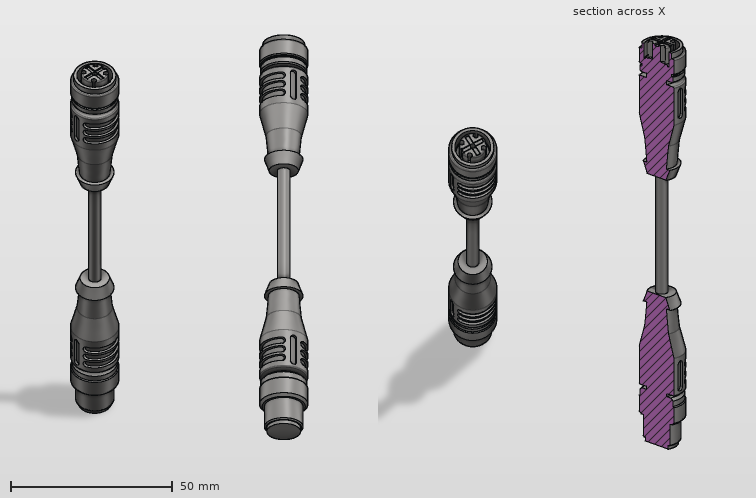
import cadquery as cq


length = 137.5
outer_dia = 15.0
edge_break = 0.4

cable_dia = 4.0
grip_top_z = 125.0
grip_bottom_z = 18.8
grip_body_length = 13.0
grip_cone_end = 20.9
grip_lip_start = 29.0
grip_length = 33.0
grip_cone_dia = 11.0
grip_tail_dia = 9.5
grip_lip_dia = 12.0
grip_tip_dia = 9.1
grip_edge_radius = 0.4

recess_floor_dia = 13.3
recess_width = 2.2
panel_width = 2.0
rib_pitch = 3.0
rib_groove_count = 3
rib_groove_center = 6.3
rib_groove_inset = 2.6
panel_start = 1.2
panel_end = 11.4

neck_dia = 9.6
collar_dia = 14.3

socket_collar_bottom_z = 126.2
collar_groove_bottom_z = 128.3
socket_nut_bottom_z = 129.0
socket_nut_top_z = 134.5
sleeve_dia = 13.0
sleeve_top_z = 136.4
sleeve_bore_dia = 11.0
sleeve_floor_z = 131.3
insert_dia = 8.4
seal_section_dia = 1.15
seal_squeeze = 0.1
contact_hole_dia = 1.5
outer_contact_count = 4
first_contact_angle = 45
contact_circle_dia = 7.0
contact_hole_depth = 5.5
key_width = 1.6
key_depth = 0.7
cross_width = 1.2
cross_length = 7.2
cross_depth = 0.5

plug_collar_top_z = 18.0
plug_collar_chamfer = 0.8
plug_nut_top_z = 15.4
plug_nut_bottom_z = 8.8
plug_nut_chamfer = 0.8
plug_dia = 12.0
plug_tip_dia = 10.5
plug_tip_length = 1.2


def cylinder(dia, bottom_z, top_z):
    return cq.Workplane("XY").workplane(offset=bottom_z).circle(dia / 2).extrude(top_z - bottom_z)


def grip_slot(width, slot_length, x, z, turn):
    """A round-ended bar running right through the grip along Y."""
    return (
        cq.Workplane("XZ")
        .center(x, z)
        .slot2D(slot_length, width, turn)
        .extrude(outer_dia, both=True)
    )


def grip():
    """The moulded grip, with its mating face at z = 0 and its cable end pointing up."""
    body_r = outer_dia / 2
    profile = [
        (0, 0),
        (body_r, 0),
        (body_r, grip_body_length),
        (grip_cone_dia / 2, grip_cone_end),
        (grip_tail_dia / 2, grip_lip_start),
        (grip_lip_dia / 2, grip_lip_start),
        (grip_tip_dia / 2, grip_length),
        (0, grip_length),
    ]
    body = cq.Workplane("XZ").polyline(profile).close().revolve(360, (0, 0), (0, 1))
    body = body.faces("<Z").edges().fillet(grip_edge_radius)

    slots = grip_slot(panel_width, panel_end - panel_start, 0, (panel_start + panel_end) / 2, 90)
    groove_length = outer_dia
    groove_x = rib_groove_inset + groove_length / 2
    for row in range(rib_groove_count):
        z = rib_groove_center + (row - (rib_groove_count - 1) / 2) * rib_pitch
        for side in (-1, 1):
            slots = slots.union(grip_slot(recess_width, groove_length, side * groove_x, z, 0))
    core = cylinder(recess_floor_dia, 0, grip_length)
    return body.cut(slots.cut(core))


def socket_end():
    nut = cylinder(outer_dia, socket_nut_bottom_z, socket_nut_top_z)
    nut = nut.faces("<Z").chamfer(edge_break).faces(">Z").edges().fillet(edge_break)
    collar = cylinder(collar_dia, socket_collar_bottom_z, socket_nut_top_z - edge_break)
    collar = collar.faces("<Z").chamfer(edge_break)
    groove_floor = cylinder(sleeve_dia, collar_groove_bottom_z, socket_nut_bottom_z)
    groove = cylinder(outer_dia, collar_groove_bottom_z, socket_nut_bottom_z).cut(groove_floor)
    collar = collar.cut(groove)
    neck = cylinder(neck_dia, grip_top_z, socket_nut_top_z)
    sleeve = cylinder(sleeve_dia, socket_nut_bottom_z, sleeve_top_z)
    bore = cylinder(sleeve_bore_dia, sleeve_floor_z, length)
    shell = nut.union(collar).union(neck).union(sleeve).cut(bore)
    return shell.union(contact_insert()).union(seal_ring())


def contact_insert():
    """The insert carrying five contact holes, a shallow cross and a key notch at +Y."""
    insert = cylinder(insert_dia, socket_nut_bottom_z, length)
    insert = insert.faces(">Z").edges().fillet(edge_break)
    face = insert.faces(">Z").workplane(origin=(0, 0, length))
    outer_contacts = face.polarArray(contact_circle_dia / 2, first_contact_angle, 360, outer_contact_count)
    insert = outer_contacts.hole(contact_hole_dia, contact_hole_depth)
    insert = insert.cut(cylinder(contact_hole_dia, length - contact_hole_depth, length))
    cross_z = length - cross_depth / 2
    for size in ((cross_length, cross_width), (cross_width, cross_length)):
        insert = insert.cut(cq.Workplane("XY").box(*size, cross_depth).translate((0, 0, cross_z)))
    key = cq.Workplane("XY").box(key_width, 2 * key_depth, length - sleeve_floor_z)
    return insert.cut(key.translate((0, insert_dia / 2, (length + sleeve_floor_z) / 2)))


def seal_ring():
    """The round seal in the gap around the insert, half sunk into its floor and pressed
    slightly into the insert."""
    ring_r = (insert_dia + seal_section_dia) / 2 - seal_squeeze
    return (
        cq.Workplane("XZ")
        .center(ring_r, sleeve_floor_z)
        .circle(seal_section_dia / 2)
        .revolve(360, (-ring_r, 0), (-ring_r, 1))
    )


def plug_end():
    nut = cylinder(outer_dia, plug_nut_bottom_z, plug_nut_top_z)
    nut = nut.faces("<Z").chamfer(plug_nut_chamfer).faces(">Z").chamfer(edge_break)
    collar = cylinder(collar_dia, plug_nut_bottom_z + plug_nut_chamfer, plug_collar_top_z)
    collar = collar.faces(">Z").chamfer(plug_collar_chamfer)
    neck = cylinder(neck_dia, plug_nut_top_z, grip_bottom_z)
    barrel = cylinder(plug_dia, plug_tip_length, plug_nut_top_z).faces("<Z").chamfer(edge_break)
    tip = cylinder(plug_tip_dia, 0, plug_nut_top_z)
    return nut.union(collar).union(neck).union(barrel).union(tip)


lower_grip = grip().translate((0, 0, grip_bottom_z))
upper_grip = grip().rotate((0, 0, 0), (0, 1, 0), 180).translate((0, 0, grip_top_z))
cable = cylinder(cable_dia, grip_bottom_z + grip_body_length, grip_top_z - grip_body_length)

result = plug_end().union(lower_grip).union(cable).union(upper_grip).union(socket_end())